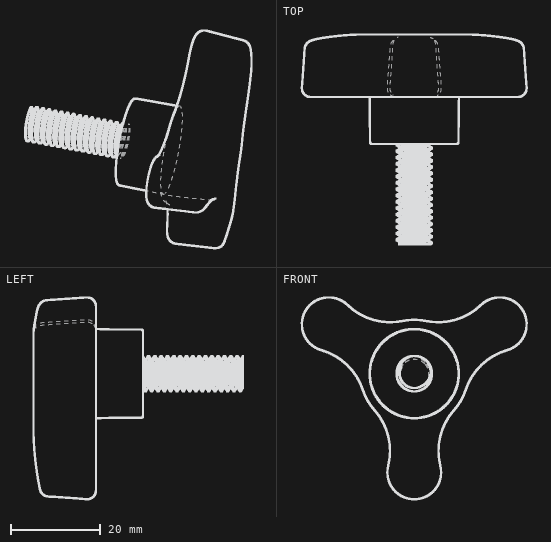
import cadquery as cq
import math


OVERALL_WIDTH = 50.15
ARM_COUNT = 3
ARM_PITCH = 2 * math.pi / ARM_COUNT
FIRST_ARM_ANGLE = -math.pi / 2
LOBE_RADIUS = 6.0
LOBE_REACH = (OVERALL_WIDTH / 2 - LOBE_RADIUS) / math.sin(ARM_PITCH)
WAIST_RADIUS = 12.05
WAIST_HALF_ANGLE = math.radians(12)
GRIP_DEPTH = 14.0
RIM_DEPTH = 2.1
DRAFT_ANGLE = 4.0
EDGE_RADIUS = 2.0

CROWN_FLAT_RADIUS = 11.55
CROWN_ARC_RADIUS = 70.2
CROWN_REACH = 35.1
CROWN_TRIM = 0.5

BOSS_BASE_RADIUS = 10.0
BOSS_END_RADIUS = 9.9
BOSS_LENGTH = 10.5
BOSS_EDGE_RADIUS = 0.5

STUD_LENGTH = 22.3
THREAD_RADIUS = 3.95
ROOT_RADIUS = 3.2
GAUGE_TURNS = 16
GAUGE_LENGTH = 22.55
THREAD_PITCH = GAUGE_LENGTH / GAUGE_TURNS
CREST_WIDTH = THREAD_PITCH / 8
FLANK_ANGLE = math.radians(30)
THREAD_OVERLAP = 0.1
CREST_TO_TIP = 1.35
SPARE_TURNS = 2

BOSS_END_Y = -BOSS_LENGTH
TIP_Y = BOSS_END_Y - STUD_LENGTH


def polar(radius, angle):
    return radius * math.cos(angle), radius * math.sin(angle)


def between(start, end, distance):
    """Point that lies the given distance from start toward end."""
    share = distance / math.dist(start, end)
    return tuple(a + share * (b - a) for a, b in zip(start, end))


def flank_radius():
    """Radius of the hollow arc that is tangent to both the waist and a lobe."""
    spread = math.cos(ARM_PITCH / 2 - WAIST_HALF_ANGLE)
    gap = WAIST_RADIUS**2 + LOBE_REACH**2 - 2 * WAIST_RADIUS * LOBE_REACH * spread - LOBE_RADIUS**2
    return gap / (2 * (LOBE_RADIUS - WAIST_RADIUS + LOBE_REACH * spread))


def grip_outline(y):
    """Closed grip outline on the plane at the given Y."""
    hollow = flank_radius()
    waist_offset = ARM_PITCH / 2 - WAIST_HALF_ANGLE

    def flank(arm_angle, side):
        """Waist end, middle and lobe end of the hollow beside an arm."""
        center = polar(WAIST_RADIUS + hollow, arm_angle + side * waist_offset)
        lobe_end = between(center, polar(LOBE_REACH, arm_angle), hollow)
        waist_end = polar(WAIST_RADIUS, arm_angle + side * waist_offset)
        chord_middle = between(waist_end, lobe_end, math.dist(waist_end, lobe_end) / 2)
        return waist_end, between(center, chord_middle, hollow), lobe_end

    outline = cq.Workplane("XZ", origin=(0, y, 0)).moveTo(*flank(FIRST_ARM_ANGLE, -1)[0])
    for arm in range(ARM_COUNT):
        angle = FIRST_ARM_ANGLE + arm * ARM_PITCH
        near_waist, near_middle, near_lobe = flank(angle, -1)
        far_waist, far_middle, far_lobe = flank(angle, 1)
        outline = (
            outline.threePointArc(near_middle, near_lobe)
            .threePointArc(polar(LOBE_REACH + LOBE_RADIUS, angle), far_lobe)
            .threePointArc(far_middle, far_waist)
            .threePointArc(
                polar(WAIST_RADIUS, angle + ARM_PITCH / 2),
                polar(WAIST_RADIUS, angle + ARM_PITCH - waist_offset),
            )
        )
    return outline.close()


def crown():
    """Round blank whose back face gives the grip its crown."""
    def back_y(radius):
        run = radius - CROWN_FLAT_RADIUS
        return GRIP_DEPTH - CROWN_ARC_RADIUS + math.sqrt(CROWN_ARC_RADIUS**2 - run**2)

    middle = (CROWN_FLAT_RADIUS + CROWN_REACH) / 2
    return (
        cq.Workplane("XY")
        .lineTo(CROWN_REACH, 0)
        .lineTo(CROWN_REACH, back_y(CROWN_REACH))
        .threePointArc((middle, back_y(middle)), (CROWN_FLAT_RADIUS, GRIP_DEPTH))
        .lineTo(0, GRIP_DEPTH)
        .close()
        .revolve(360, (0, 0, 0), (0, 1, 0))
    )


def grip():
    rim = grip_outline(RIM_DEPTH).extrude(RIM_DEPTH).faces("<Y").edges().fillet(EDGE_RADIUS)
    body = grip_outline(RIM_DEPTH).extrude(RIM_DEPTH - GRIP_DEPTH - CROWN_TRIM, taper=DRAFT_ANGLE)
    body = body.intersect(crown())

    body = body.faces(">Y").edges(">Z").fillet(EDGE_RADIUS)
    return body.union(rim)


def boss():
    blank = (
        cq.Workplane("XY")
        .lineTo(BOSS_BASE_RADIUS, 0)
        .lineTo(BOSS_END_RADIUS, BOSS_END_Y)
        .lineTo(0, BOSS_END_Y)
        .close()
        .revolve(360, (0, 0, 0), (0, 1, 0))
    )
    return blank.faces("<Y").edges().fillet(BOSS_EDGE_RADIUS)


def stud():
    """Core with a right-handed helical ridge, cut square at both ends."""
    turns = math.ceil(STUD_LENGTH / THREAD_PITCH) + 2 * SPARE_TURNS
    start_y = TIP_Y + CREST_TO_TIP - SPARE_TURNS * THREAD_PITCH
    helix = cq.Wire.makeHelix(
        THREAD_PITCH, turns * THREAD_PITCH, ROOT_RADIUS, cq.Vector(0, start_y, 0), cq.Vector(0, 1, 0)
    )

    base_radius = ROOT_RADIUS - THREAD_OVERLAP
    half_crest = CREST_WIDTH / 2
    half_base = half_crest + (THREAD_RADIUS - base_radius) * math.tan(FLANK_ANGLE)
    ridge = (
        cq.Workplane("YZ", origin=(0, start_y, 0))
        .moveTo(-half_base, base_radius)
        .lineTo(-half_crest, THREAD_RADIUS)
        .lineTo(half_crest, THREAD_RADIUS)
        .lineTo(half_base, base_radius)
        .close()
        .sweep(cq.Workplane(obj=helix), isFrenet=True)
    )

    envelope = cq.Workplane("XZ", origin=(0, BOSS_END_Y, 0)).circle(2 * THREAD_RADIUS).extrude(STUD_LENGTH)
    core = cq.Workplane("XZ").circle(ROOT_RADIUS).extrude(-TIP_Y)
    return core.union(ridge.intersect(envelope))


result = grip().union(boss()).union(stud())